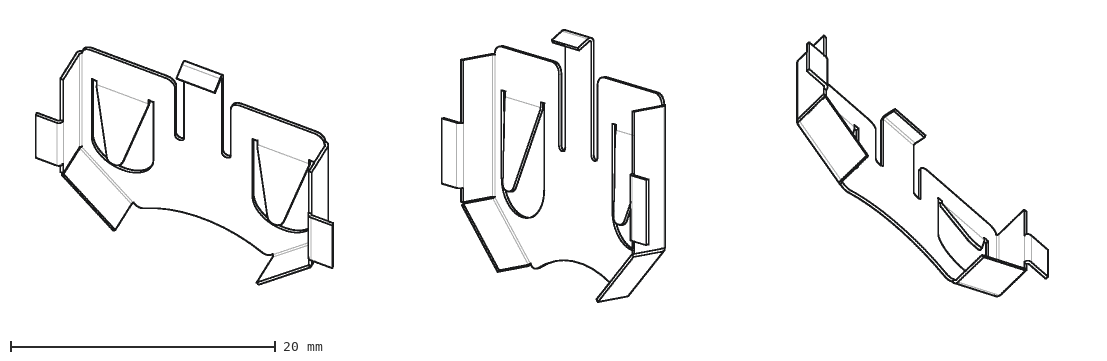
import cadquery as cq
import math


overall_width = 24.9
overall_depth = 3.55
overall_height = 19.31
sheet = 0.25
inner_bend = 0.12
outer_bend = inner_bend + sheet
mid_bend = inner_bend + sheet / 2

side_x = 10.18
shoulder_z = 16.5
corner_radius = 0.8
cell_arc_radius = 9.5
cell_arc_top = 1.5
foot_radius = 0.6

finger_width = 3.19
slot_width = 0.75
slot_bottom = 9.78
hook_turn = 120.0
hook_length = 1.15

window_x = 6.75
window_width = 5.18
window_top = 13.1
window_bottom = 3.7
tongue_width = 4.33
tongue_root_z = 12.67
tongue_shoulder = 0.25
tongue_tip_width = 1.1
tongue_tip_radius = 0.62
tongue_length = 6.92
tongue_tilt = 12.5

flange_turn = 90.0
flange_depth = overall_depth - outer_bend
lower_flange_length = 6.15
tab_bottom = 5.75
tab_height = 5.08

cell_arc_center_z = cell_arc_top - cell_arc_radius
foot_z = foot_radius
foot_x = math.sqrt((cell_arc_radius + foot_radius) ** 2 - (foot_z - cell_arc_center_z) ** 2)
diagonal = math.sqrt(0.5)
side_bottom = side_x - foot_x + foot_z - foot_radius / diagonal
side_top = shoulder_z - corner_radius


def half_plate():
    """Right half of the plate, without the finger."""
    fillet_offset = corner_radius * (1 - diagonal)
    foot_share = cell_arc_radius / (cell_arc_radius + foot_radius)
    foot_start_x = foot_x * foot_share
    foot_start_z = cell_arc_center_z + (foot_z - cell_arc_center_z) * foot_share
    arc_mid_angle = math.asin(foot_start_x / cell_arc_radius) / 2
    arc_mid_x = cell_arc_radius * math.sin(arc_mid_angle)
    arc_mid_z = cell_arc_center_z + cell_arc_radius * math.cos(arc_mid_angle)
    slot_inner = finger_width / 2
    slot_outer = slot_inner + slot_width
    slot_radius = slot_width / 2
    outline = (
        cq.Workplane("XZ")
        .moveTo(0, cell_arc_top)
        .threePointArc((arc_mid_x, arc_mid_z), (foot_start_x, foot_start_z))
        .threePointArc(
            (foot_x, 0),
            (foot_x + foot_radius * diagonal, foot_z - foot_radius * diagonal),
        )
        .lineTo(side_x, side_bottom)
        .lineTo(side_x, side_top)
        .threePointArc(
            (side_x - fillet_offset, shoulder_z - fillet_offset),
            (side_x - corner_radius, shoulder_z),
        )
        .lineTo(slot_outer + corner_radius, shoulder_z)
        .threePointArc(
            (slot_outer + fillet_offset, shoulder_z - fillet_offset),
            (slot_outer, side_top),
        )
        .lineTo(slot_outer, slot_bottom + slot_radius)
        .threePointArc(
            (slot_inner + slot_radius, slot_bottom),
            (slot_inner, slot_bottom + slot_radius),
        )
        .lineTo(0, slot_bottom + slot_radius)
        .close()
    )
    return outline.extrude(sheet)


def window():
    """Cutter for the right window: round bottom, with a stub left standing for the tongue."""
    radius = window_width / 2
    left = window_x - radius
    right = window_x + radius
    arc_z = window_bottom + radius
    opening = (
        cq.Workplane("XZ")
        .moveTo(left, window_top)
        .lineTo(left, arc_z)
        .threePointArc((window_x, window_bottom), (right, arc_z))
        .lineTo(right, window_top)
        .close()
        .extrude(sheet)
    )
    stub_height = window_top - tongue_root_z
    stub = (
        cq.Workplane("XZ")
        .center(window_x, tongue_root_z + stub_height / 2)
        .rect(tongue_width, stub_height)
        .extrude(sheet)
    )
    return opening.cut(stub)


def tongue():
    """Tapered contact tongue of the right window, tilted forward about its root."""
    half_root = tongue_width / 2
    half_tip = tongue_tip_width / 2
    blank = (
        cq.Workplane("XZ", origin=(window_x, 0, tongue_root_z))
        .polyline([
            (-half_root, 0),
            (half_root, 0),
            (half_root, -tongue_shoulder),
            (half_tip, -tongue_length),
            (-half_tip, -tongue_length),
            (-half_root, -tongue_shoulder),
        ])
        .close()
        .extrude(sheet)
    )
    blank = blank.faces("<Z").edges("|Y").fillet(tongue_tip_radius)
    root = (window_x, 0, tongue_root_z)
    root_axis_end = (window_x + 0.25, 0, tongue_root_z)
    return blank.rotate(root, root_axis_end, -tongue_tilt)


def bent_strip(edge_start, outward_angle, width, moves):
    """Strip that leaves the plate and follows moves along its mid-plane.

    edge_start is the (x, z) start of the edge it grows from and width its size along that
    edge. outward_angle is the direction it leaves in, in degrees from +X towards +Z.
    Each move is (turn, length): bend by turn degrees, positive towards -Y, then run straight.
    """
    direction = math.radians(outward_angle)
    outward = cq.Vector(math.cos(direction), 0, math.sin(direction))
    along_edge = cq.Vector(math.sin(direction), 0, -math.cos(direction))
    edge_middle = cq.Vector(edge_start[0], -sheet / 2, edge_start[1]) + along_edge * (width / 2)

    path = cq.Workplane(cq.Plane(edge_middle, outward, along_edge)).moveTo(0, 0)
    x, y, heading = 0.0, 0.0, 0.0
    for turn, length in moves:
        radius = math.copysign(mid_bend, turn)
        center_x = x - radius * math.sin(heading)
        center_y = y + radius * math.cos(heading)
        middle = heading + math.radians(turn) / 2
        heading += math.radians(turn)
        x = center_x + radius * math.sin(heading)
        y = center_y - radius * math.cos(heading)
        path = path.threePointArc(
            (center_x + radius * math.sin(middle), center_y - radius * math.cos(middle)),
            (x, y),
        )
        x += length * math.cos(heading)
        y += length * math.sin(heading)
        path = path.lineTo(x, y)

    section = cq.Workplane(cq.Plane(edge_middle, along_edge, outward)).rect(width, sheet)
    return section.sweep(path)


def right_flanges():
    """Side flange with its solder tab, and the flange on the 45 degree edge."""
    flange_leg = flange_depth - outer_bend
    tab_leg = overall_width / 2 - side_x - 2 * mid_bend
    side_height = side_top - side_bottom
    wall_moves = [(flange_turn, flange_leg)]
    tab_moves = wall_moves + [(-flange_turn, tab_leg)]
    side = bent_strip((side_x, side_top), 0, side_height, wall_moves)
    tab = bent_strip((side_x, tab_bottom + tab_height), 0, tab_height, tab_moves)
    lower = bent_strip((side_x, side_bottom), -45, lower_flange_length, wall_moves)
    return side.union(tab).union(lower)


def finger():
    """Central spring finger with its hooked end."""
    bend_start = overall_height - outer_bend
    root = slot_bottom + slot_width / 2
    blade = (
        cq.Workplane("XZ")
        .center(0, (root + bend_start) / 2)
        .rect(finger_width, bend_start - root)
        .extrude(sheet)
    )
    hook_moves = [(hook_turn, hook_length)]
    hook = bent_strip((-finger_width / 2, bend_start), 90, finger_width, hook_moves)
    return blade.union(hook)


right_half = half_plate().cut(window()).union(tongue()).union(right_flanges())
left_half = right_half.mirror("YZ")
result = right_half.union(left_half).union(finger()).clean()